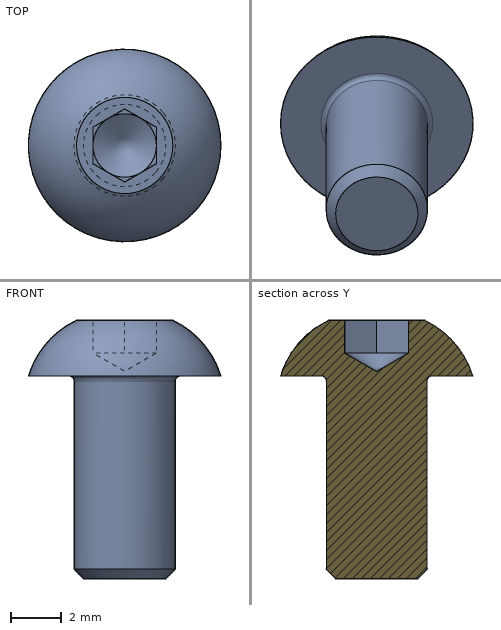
import cadquery as cq
import math

total_length = 10.2
head_diameter = 7.6
head_height = 2.2
crown_diameter = 3.79
dome_bulge = 0.31

shank_diameter = 4.0
tip_chamfer = 0.38
neck_fillet = 0.2

socket_across_flats = 2.5
socket_depth = 1.3
socket_cone_half_angle = 60.0

shank_length = total_length - head_height
head_radius = head_diameter / 2
crown_radius = crown_diameter / 2
shank_radius = shank_diameter / 2


def arc_middle(start, end, bulge):
    """Point on an arc, offset from its chord to the right of start-to-end."""
    run = end[0] - start[0]
    rise = end[1] - start[1]
    chord = math.hypot(run, rise)
    return (
        (start[0] + end[0]) / 2 + bulge * rise / chord,
        (start[1] + end[1]) / 2 - bulge * run / chord,
    )


def make_body():
    """Revolved head and shank."""
    neck_bottom = (shank_radius, shank_length - neck_fillet)
    neck_top = (shank_radius + neck_fillet, shank_length)
    rim = (head_radius, shank_length)
    crown = (crown_radius, total_length)
    return (
        cq.Workplane("XZ")
        .lineTo(shank_radius - tip_chamfer, 0)
        .lineTo(shank_radius, tip_chamfer)
        .lineTo(*neck_bottom)
        .tangentArcPoint(neck_top, relative=False)
        .lineTo(*rim)
        .threePointArc(arc_middle(rim, crown, dome_bulge), crown)
        .lineTo(0, total_length)
        .close()
        .revolve(360, (0, 0), (0, 1))
    )


def make_socket():
    """Hexagonal recess, flats facing +X and -X, ending in a drilled cone."""
    across_corners = socket_across_flats / math.cos(math.radians(30))
    floor_z = total_length - socket_depth
    cone_radius = socket_across_flats / 2
    cone_depth = cone_radius / math.tan(math.radians(socket_cone_half_angle))
    hexagon = (
        cq.Workplane("XY")
        .workplane(offset=floor_z)
        .transformed(rotate=(0, 0, 90))
        .polygon(6, across_corners)
        .extrude(socket_depth)
    )
    cone_tip = cq.Vector(0, 0, floor_z - cone_depth)
    cone = cq.Solid.makeCone(0, cone_radius, cone_depth, pnt=cone_tip)
    return hexagon.union(cq.Workplane(cone))


result = make_body().cut(make_socket())